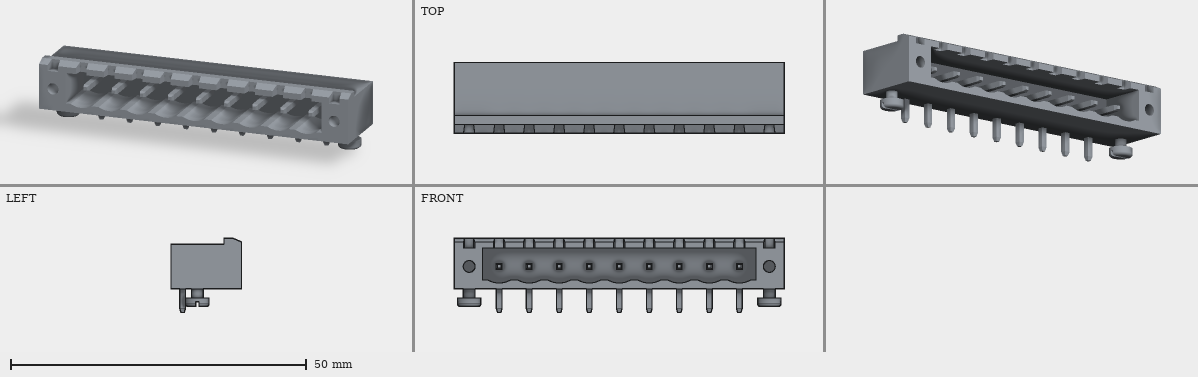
import cadquery as cq

pitch = 5.08
pin_count = 9
station_count = pin_count + 2

body_length = station_count * pitch
body_depth = 12.0
body_height = 7.6
lip_height = 8.6
lip_depth = 3.0
lip_slope_depth = 1.5
lip_slope_drop = 0.65

cavity_length = 46.2
cavity_depth = 8.5
cavity_floor = 1.5
cavity_ceiling = 6.9
groove_half_width = 1.9
groove_depth = 0.5

notch_front_width = 1.9
notch_rear_width = 1.5

pin_size = 1.0
pin_tip_size = 0.6
pin_tip_length = 0.7
pin_axis_z = 3.8
contact_tip_y = 2.0
tail_y = body_depth - 2.0
tail_length = 4.0

flange_hole_diameter = 2.0
flange_hole_depth = 5.0

screw_y = body_depth - 4.5
screw_shank_diameter = 2.0
screw_shank_length = 1.5
screw_head_diameter = 4.0
screw_head_height = 1.5
screw_head_fillet = 0.5
screw_slot_width = 0.5
screw_slot_depth = 0.8

station_x = [(i - (station_count - 1) / 2) * pitch for i in range(station_count)]
pin_x = station_x[1:-1]
flange_x = [station_x[0], station_x[-1]]


def housing():
    """Solid housing: side profile with the sloped lip, extruded along X."""
    profile = [
        (0, 0),
        (body_depth, 0),
        (body_depth, body_height),
        (lip_depth, body_height),
        (lip_depth, lip_height),
        (lip_slope_depth, lip_height),
        (0, lip_height - lip_slope_drop),
    ]
    return cq.Workplane("YZ").polyline(profile).close().extrude(body_length / 2, both=True)


def cavity():
    """Plug cavity with one shallow arc groove in the floor below every pin."""
    half_length = cavity_length / 2
    outline = cq.Workplane("XZ").moveTo(-half_length, cavity_ceiling).lineTo(-half_length, cavity_floor)
    for x in pin_x:
        outline = outline.lineTo(x - groove_half_width, cavity_floor)
        outline = outline.threePointArc(
            (x, cavity_floor - groove_depth),
            (x + groove_half_width, cavity_floor),
        )
    outline = outline.lineTo(half_length, cavity_floor).lineTo(half_length, cavity_ceiling)
    return outline.close().extrude(-cavity_depth)


def lip_notch(x):
    """Coding notch through the lip, tapering from the mating face to the rear."""
    outline = [
        (x - notch_front_width / 2, 0),
        (x + notch_front_width / 2, 0),
        (x + notch_rear_width / 2, lip_slope_depth),
        (x - notch_rear_width / 2, lip_slope_depth),
    ]
    notch_height = lip_height - cavity_ceiling
    return cq.Workplane("XY", origin=(0, 0, cavity_ceiling)).polyline(outline).close().extrude(notch_height)


def flange_hole(x):
    """Blind round hole in the mating face of a flange."""
    face = cq.Workplane("XZ", origin=(x, 0, pin_axis_z))
    return face.circle(flange_hole_diameter / 2).extrude(-flange_hole_depth)


def square_pin(root, direction, length):
    """Square pin running from root along direction, ending in a tapered tip."""
    plane = cq.Plane(origin=root, xDir=(1, 0, 0), normal=direction)
    shaft = cq.Workplane(plane).rect(pin_size, pin_size).extrude(length - pin_tip_length)
    tip = (
        cq.Workplane(plane)
        .workplane(offset=length - pin_tip_length)
        .rect(pin_size, pin_size)
        .workplane(offset=pin_tip_length)
        .rect(pin_tip_size, pin_tip_size)
        .loft(ruled=True)
    )
    return shaft.union(tip)


def contact(x):
    """Bent contact: a horizontal pin in the cavity and a solder tail below the housing."""
    blade = square_pin((x, tail_y, pin_axis_z), (0, -1, 0), tail_y - contact_tip_y)
    tail = square_pin((x, tail_y, pin_axis_z), (0, 0, -1), pin_axis_z + tail_length)
    return blade.union(tail)


def flange_screw(x):
    """Slotted screw below a flange, head downwards."""
    board_face = cq.Workplane("XY", origin=(x, screw_y, 0))
    shank = board_face.circle(screw_shank_diameter / 2).extrude(-screw_shank_length)
    head = (
        cq.Workplane("XY", origin=(x, screw_y, -screw_shank_length))
        .circle(screw_head_diameter / 2)
        .extrude(-screw_head_height)
        .faces("<Z")
        .edges()
        .fillet(screw_head_fillet)
    )
    head_bottom = -screw_shank_length - screw_head_height
    slot = cq.Workplane("XY", origin=(x, screw_y, head_bottom)).rect(screw_head_diameter, screw_slot_width)
    return shank.union(head.cut(slot.extrude(screw_slot_depth)))


result = housing().cut(cavity())
for x in station_x:
    result = result.cut(lip_notch(x))
for x in flange_x:
    result = result.cut(flange_hole(x)).union(flange_screw(x))
for x in pin_x:
    result = result.union(contact(x))